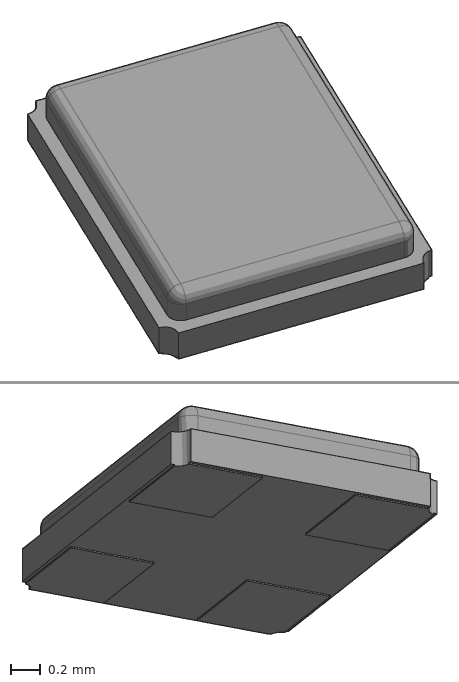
import cadquery as cq

length = 2.5
width = 2.0
total_height = 0.5
base_top = 0.25
castellation_radius = 0.1

lid_margin = 0.1
lid_edge_radius = 0.1

pad_thickness = 0.01
pad_inset = 0.025
pad_length = 0.775
pad_width = 0.625


def make_base():
    """Base plate, raised by the thickness of the pads."""
    return (
        cq.Workplane("XY")
        .workplane(offset=pad_thickness)
        .rect(length, width)
        .extrude(base_top - pad_thickness)
    )


def make_pads():
    """Four pads set slightly in from the outer sides of the base."""
    spacing_x = length - 2 * pad_inset - pad_length
    spacing_y = width - 2 * pad_inset - pad_width
    return (
        cq.Workplane("XY")
        .rect(spacing_x, spacing_y, forConstruction=True)
        .vertices()
        .rect(pad_length, pad_width)
        .extrude(pad_thickness)
    )


def make_corner_cutters():
    """Quarter-round castellations through the base and pads."""
    return (
        cq.Workplane("XY")
        .rect(length, width, forConstruction=True)
        .vertices()
        .circle(castellation_radius)
        .extrude(base_top)
    )


def make_lid():
    """Lid with rounded upright corners and a rounded top edge."""
    return (
        cq.Workplane("XY")
        .workplane(offset=base_top)
        .rect(length - 2 * lid_margin, width - 2 * lid_margin)
        .extrude(total_height - base_top)
        .edges("|Z or >Z")
        .fillet(lid_edge_radius)
    )


result = make_base().union(make_pads()).cut(make_corner_cutters()).union(make_lid())